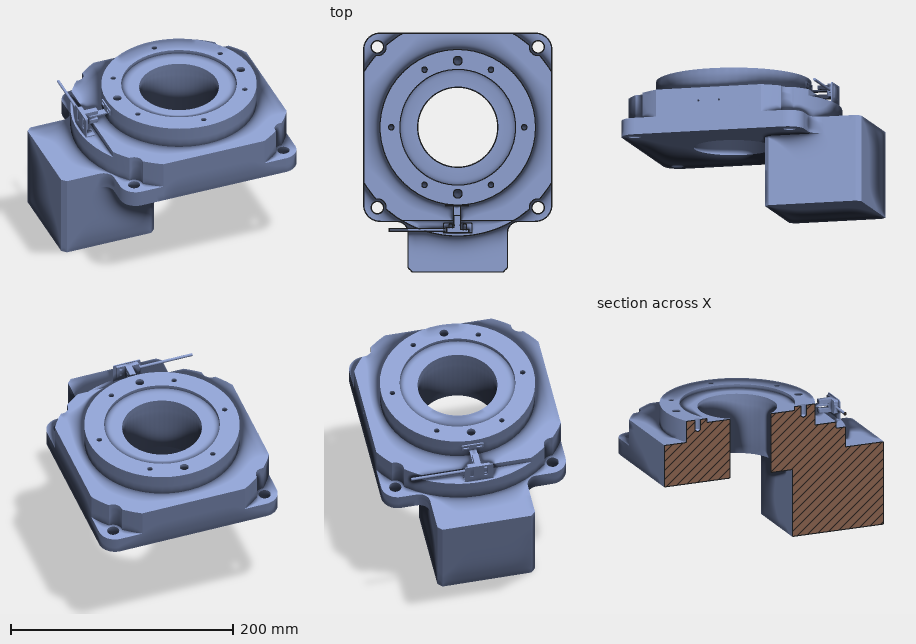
import cadquery as cq
import math


plate_side = 170.0
plate_height = 15.0
plate_corner_radius = 15.0
mount_hole_diameter = 11.0
mount_hole_offset = 72.5
screw_head_radius = 8.0

block_radius = 98.0
block_height = 24.8
ledge_depth = 5.8
ledge_start = 84.0

table_radius = 70.0
table_height = 20.0
bore_radius = 36.0
recess_radius = 52.2
recess_depth = 3.7
hole_circle_radius = 60.0
tapped_hole_diameter = 5.0
tapped_hole_count = 6
dowel_hole_diameter = 8.0
dowel_hole_count = 2
table_hole_depth = 10.0
drill_point_angle = 118

side_hole_diameter = 2.0
side_hole_spacing = 19.2
side_hole_height = 27.8
side_hole_depth = 3.2

motor_side = 90.0
motor_drop = 63.5
motor_chamfer = 4.0
overall_length = 215.5
neck_fillet = 10.0

half_plate = plate_side / 2
block_top = plate_height + block_height
table_top = block_top + table_height
ledge_level = block_top - ledge_depth
motor_front = half_plate - overall_length
motor_center = motor_front + motor_side / 2

sheet = 0.9
bracket_width = 26.0
bracket_height = 19.2
bracket_front = -95.5
bracket_foot_depth = 9.3
bracket_corner = 1.5
slot_spacing = 12.7
slot_width = 3.5
wall_slot_length = 12.5
wall_slot_center = 46.0
foot_slot_length = 6.3
foot_slot_center = -90.1

sensor_width = 20.7
sensor_bottom = 40.0
sensor_height = 12.3
sensor_body_depth = 2.4
shoulder_depth = 1.7
sensor_corner_chamfer = 0.6
fork_left = -3.2
fork_width = 5.5
fork_height = 3.7
fork_tip = -79.3
fork_root = -88.5
sensor_hole_diameter = 3.0
sensor_hole_spacing = 6.5
grommet_length = 1.0
grommet_depth = 3.2
grommet_height = 5.5
grommet_clearance = 0.5
cable_diameter = 2.5
cable_end = -61.9
cable_height = 46.4

sensor_back = bracket_front + sheet
sensor_center = sensor_bottom + sensor_height / 2

flag_center = -0.6
flag_width = 20.5
flag_thickness = 1.0
flag_bottom = 49.5
flag_top = 55.2
flag_corner = 1.3
flag_slot_length = 5.4
flag_slot_width = 2.8
flag_slot_spacing = 12.0
blade_width = 6.5
blade_bottom = 46.8
blade_thickness = 1.3
blade_tip = -88.0


def block_between(x0, x1, y0, y1, z0, z1):
    """Axis-aligned block between two opposite corners."""
    return cq.Workplane("XY").box(x1 - x0, y1 - y0, z1 - z0, centered=False).translate((x0, y0, z0))


def square_corners(offset):
    return [(sx * offset, sy * offset) for sx in (-1, 1) for sy in (-1, 1)]


def drilled_holes(diameter, count, first_angle):
    """Blind holes with drill points, spread round the table face."""
    radius = diameter / 2
    point_depth = radius / math.tan(math.radians(drill_point_angle / 2))
    drill = (
        cq.Workplane("XZ")
        .polyline([
            (0, 0),
            (radius, 0),
            (radius, -table_hole_depth),
            (0, -table_hole_depth - point_depth),
        ])
        .close()
        .revolve(360, (0, 0), (0, 1))
        .translate((hole_circle_radius, 0, table_top))
    )
    holes = cq.Workplane("XY")
    for i in range(count):
        holes.add(drill.rotate((0, 0, 0), (0, 0, 1), first_angle + i * 360 / count).val())
    return holes.combine()


def make_base():
    """Mounting plate, with a neck of the motor width filleted into its front edge."""
    plate = (
        cq.Workplane("XY")
        .rect(plate_side, plate_side)
        .extrude(plate_height)
        .edges("|Z")
        .fillet(plate_corner_radius)
    )
    neck = (
        cq.Workplane("XY")
        .center(0, motor_center)
        .rect(motor_side, motor_side)
        .extrude(plate_height)
        .edges("|Z")
        .chamfer(motor_chamfer)
    )
    half_motor = motor_side / 2
    inner_corners = cq.selectors.BoxSelector(
        (-half_motor - 2.2, -half_plate - 2.2, -2.2),
        (half_motor + 2.2, -half_plate + 2.2, plate_height + 2.2),
    )
    base = plate.union(neck)
    return base.edges("|Z").edges(inner_corners).fillet(neck_fillet)


def make_motor_case():
    return (
        cq.Workplane("XY")
        .center(0, motor_center)
        .rect(motor_side, motor_side)
        .extrude(-motor_drop)
        .edges("|Z")
        .chamfer(motor_chamfer)
    )


def make_gear_block():
    """Round block trimmed flush with three plate sides, with screw-head reliefs and a front ledge."""
    trim = block_between(-half_plate, half_plate, -block_radius, half_plate, plate_height, block_top)
    block = cq.Workplane("XY").workplane(offset=plate_height).circle(block_radius).extrude(block_height)
    reliefs = (
        cq.Workplane("XY")
        .workplane(offset=plate_height)
        .pushPoints(square_corners(mount_hole_offset))
        .circle(screw_head_radius)
        .extrude(block_height)
    )
    ledge = block_between(-block_radius, block_radius, -block_radius, -ledge_start, ledge_level, block_top)
    return block.intersect(trim).cut(reliefs).cut(ledge)


def make_actuator():
    table = cq.Workplane("XY").workplane(offset=block_top).circle(table_radius).extrude(table_height)
    body = make_base().union(make_motor_case()).union(make_gear_block()).union(table)

    bore = cq.Workplane("XY").circle(bore_radius).extrude(table_top)
    recess = cq.Workplane("XY").workplane(offset=table_top).circle(recess_radius).extrude(-recess_depth)
    mount_holes = (
        cq.Workplane("XY")
        .pushPoints(square_corners(mount_hole_offset))
        .circle(mount_hole_diameter / 2)
        .extrude(plate_height)
    )
    side_holes = (
        cq.Workplane("YZ")
        .workplane(offset=-half_plate)
        .pushPoints([(s * side_hole_spacing / 2, side_hole_height) for s in (-1, 1)])
        .circle(side_hole_diameter / 2)
        .extrude(side_hole_depth)
    )
    return (
        body.cut(bore)
        .cut(recess)
        .cut(mount_holes)
        .cut(side_holes)
        .cut(drilled_holes(tapped_hole_diameter, tapped_hole_count, 0))
        .cut(drilled_holes(dowel_hole_diameter, dowel_hole_count, 90))
    )


def make_bracket():
    half_width = bracket_width / 2
    foot_back = bracket_front + bracket_foot_depth
    slot_xs = [-slot_spacing / 2, slot_spacing / 2]
    wall = block_between(
        -half_width, half_width, bracket_front, sensor_back, ledge_level, ledge_level + bracket_height
    ).edges("|Y and >Z").fillet(bracket_corner)
    foot = block_between(
        -half_width, half_width, bracket_front, foot_back, ledge_level, ledge_level + sheet
    ).edges("|Z and >Y").fillet(bracket_corner)
    wall_slots = (
        cq.Workplane("XZ", origin=(0, sensor_back, 0))
        .pushPoints([(x, wall_slot_center) for x in slot_xs])
        .slot2D(wall_slot_length, slot_width, 90)
        .extrude(sheet)
    )
    foot_slots = (
        cq.Workplane("XY", origin=(0, 0, ledge_level))
        .pushPoints([(x, foot_slot_center) for x in slot_xs])
        .slot2D(foot_slot_length, slot_width, 90)
        .extrude(sheet)
    )
    return wall.union(foot).cut(wall_slots).cut(foot_slots)


def make_sensor():
    half_width = sensor_width / 2
    sensor_top = sensor_bottom + sensor_height
    body_face = sensor_back + sensor_body_depth
    shoulder_face = body_face + shoulder_depth
    fork_right = fork_left + fork_width
    body = block_between(-half_width, half_width, sensor_back, body_face, sensor_bottom, sensor_top)
    shoulder = block_between(-half_width, fork_right, body_face, shoulder_face, sensor_bottom, sensor_top)

    case = body.union(shoulder).edges("|Y and (<X or >X)").chamfer(sensor_corner_chamfer)

    fork = block_between(fork_left, fork_right, body_face, fork_tip, sensor_bottom, sensor_top)
    gap = block_between(
        fork_left, fork_right, fork_root, fork_tip, sensor_bottom + fork_height, sensor_top - fork_height
    )
    screw_holes = (
        cq.Workplane("XZ", origin=(0, body_face, 0))
        .pushPoints([
            (slot_spacing / 2, sensor_center + s * sensor_hole_spacing / 2) for s in (-1, 1)
        ])
        .circle(sensor_hole_diameter / 2)
        .extrude(sensor_body_depth)
    )

    cable_y = sensor_back + grommet_clearance + grommet_depth / 2
    grommet = block_between(
        -half_width - grommet_length,
        -half_width,
        cable_y - grommet_depth / 2,
        cable_y + grommet_depth / 2,
        sensor_center - grommet_height / 2,
        sensor_center + grommet_height / 2,
    )
    cable_length = -half_width - cable_end
    cable = (
        cq.Workplane("YZ", origin=(cable_end, cable_y, cable_height))
        .circle(cable_diameter / 2)
        .extrude(cable_length)
    )
    return case.union(fork.cut(gap)).cut(screw_holes).union(grommet).union(cable)


def make_flag():
    back = -table_radius
    front = back - flag_thickness
    left = flag_center - flag_width / 2
    blade_left = flag_center - blade_width / 2
    blade_right = blade_left + blade_width
    plate = block_between(
        left, left + flag_width, front, back, flag_bottom, flag_top
    ).edges("|Y and >Z").fillet(flag_corner)
    neck = block_between(blade_left, blade_right, front, back, blade_bottom, flag_bottom)
    blade = block_between(
        blade_left, blade_right, blade_tip, front, blade_bottom, blade_bottom + blade_thickness
    )
    slot_height = (flag_bottom + flag_top) / 2
    slots = (
        cq.Workplane("XZ", origin=(0, back, 0))
        .pushPoints([(flag_center + s * flag_slot_spacing / 2, slot_height) for s in (-1, 1)])
        .slot2D(flag_slot_length, flag_slot_width)
        .extrude(flag_thickness)
    )
    return plate.union(neck).union(blade).cut(slots)


actuator = make_actuator()
bracket = make_bracket()
sensor = make_sensor()
flag = make_flag()

result = cq.Compound.makeCompound([actuator.val(), bracket.val(), sensor.val(), flag.val()])